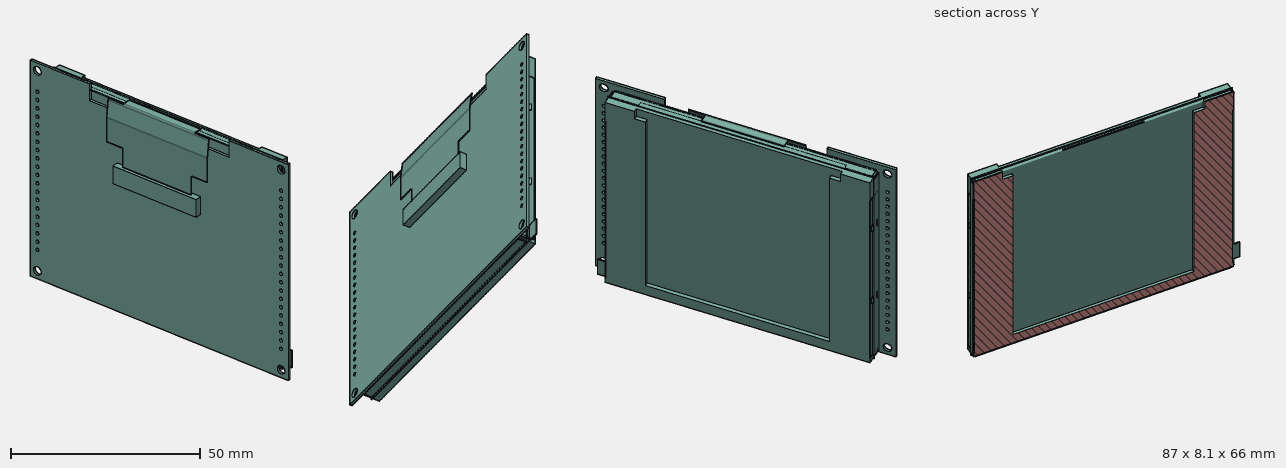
import cadquery as cq

BOARD_WIDTH = 87.0
BOARD_HEIGHT = 66.0
BOARD_THICKNESS = 0.8
CUTOUT_WIDTH = 47.0
CUTOUT_DEPTH = 5.05
MOUNT_HOLE_DIAMETER = 2.5
HOLE_INSET = 2.4
PIN_HOLE_DIAMETER = 1.0
PINS_PER_ROW = 20
PIN_ROW_LENGTH = 48.4
PIN_PITCH = PIN_ROW_LENGTH / (PINS_PER_ROW - 1)

SHEET = 0.3
FRAME_WIDTH = 76.7
FRAME_HEIGHT = 63.4
FRAME_BOTTOM = 0.3
FRAME_TOP = FRAME_BOTTOM + FRAME_HEIGHT
REAR_FRAME_FRONT = 3.3
FRAME_CLEARANCE = 0.3
SHIELD_INSIDE = REAR_FRAME_FRONT + FRAME_CLEARANCE
SHIELD_FRONT = SHIELD_INSIDE + SHEET
FRAME_THICKNESS = 2.2
SHIELD_WIDTH = FRAME_WIDTH + 2 * SHEET
SHIELD_TOP = FRAME_TOP + SHEET
CORNER_GAP = 0.8

NOTCH_WIDTH = 59.6
NOTCH_HEIGHT = 2.6
WINDOW_WIDTH = 53.25
WINDOW_DEPTH = 1.1
WINDOW_BOTTOM = 3.5
RECESS_BOTTOM = 1.65
RECESS_TOP = 57.0
RECESS_DEPTH = 0.2
RECESS_LIP = 0.3

SNAP_HEIGHT = 1.9
SNAP_LENGTH = 0.8
SNAP_REACH = 0.5
SNAP_CENTRES_Z = (21.0, 46.4)

TAB_END_X = 41.15
TAB_LENGTH = 5.2
TAB_THICKNESS = 0.35
TAB_BACK = 4.35
TAB_BOTTOM = 1.05
TAB_HEIGHT = 5.2

CONNECTOR_WIDTH = 28.0
CONNECTOR_HEIGHT = 5.4
CONNECTOR_THICKNESS = 2.0
CONNECTOR_BOTTOM = 40.0
CONNECTOR_TOP = CONNECTOR_BOTTOM + CONNECTOR_HEIGHT

FLEX_THICKNESS = 0.3
FLEX_WIDTH = 33.9
NECK_WIDTH = 23.0
STRIP_WIDTH = 24.0
FLEX_START_Y = 2.7
FLEX_BEND_RADIUS = 0.5
FLEX_RISE = 0.1
FLEX_UNDERSIDE = SHIELD_TOP + FLEX_RISE
FLEX_TOP = FLEX_UNDERSIDE + FLEX_THICKNESS
FLEX_BACK_TOP_Y = -0.4
FLEX_BACK_Y = -1.05
FLEX_CREASE_Z = 58.7
SHOULDER_Z = 51.2
SHOULDER_RADIUS = 0.4


def block(width, y_back, y_front, z_bottom, z_top, x_centre=0.0):
    """Box centred on x_centre, between two Y planes and two Z planes."""
    return cq.Workplane("XY").box(
        width, y_front - y_back, z_top - z_bottom, centered=(True, False, False)
    ).translate((x_centre, y_back, z_bottom))


def through_holes(points, diameter):
    """Cylinders along Y through the board at the given (X, Z) points."""
    return (
        cq.Workplane("XZ").pushPoints(points).circle(diameter / 2).extrude(-BOARD_THICKNESS)
    )


def make_board():
    board = block(BOARD_WIDTH, 0, BOARD_THICKNESS, 0, BOARD_HEIGHT)
    cutout = block(CUTOUT_WIDTH, 0, BOARD_THICKNESS, BOARD_HEIGHT - CUTOUT_DEPTH, BOARD_HEIGHT)
    hole_x = BOARD_WIDTH / 2 - HOLE_INSET
    mount_points = [
        (x, z) for x in (-hole_x, hole_x) for z in (HOLE_INSET, BOARD_HEIGHT - HOLE_INSET)
    ]
    first_pin_z = (BOARD_HEIGHT - PIN_ROW_LENGTH) / 2
    pin_points = [
        (x, first_pin_z + i * PIN_PITCH) for x in (-hole_x, hole_x) for i in range(PINS_PER_ROW)
    ]
    return (
        board.cut(cutout)
        .cut(through_holes(mount_points, MOUNT_HOLE_DIAMETER))
        .cut(through_holes(pin_points, PIN_HOLE_DIAMETER))
    )


def make_snaps(y_back, side_face_x):
    """Wedges on both sides that rise from y_back towards +Y, each ending in a square step."""
    wedge = (
        cq.Workplane("XY")
        .polyline([
            (0, y_back),
            (side_face_x, y_back),
            (side_face_x + SNAP_REACH, y_back + SNAP_LENGTH),
            (0, y_back + SNAP_LENGTH),
        ])
        .close()
        .extrude(SNAP_HEIGHT)
    )
    both = wedge.union(wedge.mirror("YZ"))
    lower_z, upper_z = (z - SNAP_HEIGHT / 2 for z in SNAP_CENTRES_Z)
    return both.translate((0, 0, lower_z)).union(both.translate((0, 0, upper_z)))


def make_frame(y_back):
    """Display frame with a shallow front window, a notch in the top rim and snaps in side recesses."""
    y_front = y_back + FRAME_THICKNESS
    window_floor = y_front - WINDOW_DEPTH
    notch_floor = FRAME_TOP - NOTCH_HEIGHT
    frame = block(FRAME_WIDTH, y_back, y_front, FRAME_BOTTOM, FRAME_TOP)
    notch = block(NOTCH_WIDTH, window_floor, y_front, notch_floor, FRAME_TOP)
    window = block(WINDOW_WIDTH, window_floor, y_front, WINDOW_BOTTOM, notch_floor)
    frame = frame.cut(notch).cut(window)
    for side in (-1, 1):
        recess = block(
            2 * RECESS_DEPTH,
            y_back,
            y_front - RECESS_LIP,
            RECESS_BOTTOM,
            RECESS_TOP,
            side * FRAME_WIDTH / 2,
        )
        frame = frame.cut(recess)
    return frame.union(make_snaps(y_back, FRAME_WIDTH / 2 - RECESS_DEPTH))


def make_shield(rear_frame):
    """Sheet cover around the rear frame, open at the corners, with slots where the snaps reach through."""
    shield_bottom = FRAME_BOTTOM - SHEET
    cover = block(SHIELD_WIDTH, BOARD_THICKNESS, SHIELD_FRONT, shield_bottom, SHIELD_TOP)
    hollow = block(FRAME_WIDTH, BOARD_THICKNESS, SHIELD_INSIDE, FRAME_BOTTOM, FRAME_TOP)
    cover = cover.cut(hollow).cut(rear_frame)
    for x in (-SHIELD_WIDTH / 2, SHIELD_WIDTH / 2):
        for z in (shield_bottom, SHIELD_TOP):
            gap = block(
                2 * CORNER_GAP, BOARD_THICKNESS, SHIELD_INSIDE, z - CORNER_GAP, z + CORNER_GAP, x
            )
            cover = cover.cut(gap)
    return cover


def make_tab():
    return block(
        TAB_LENGTH,
        TAB_BACK,
        TAB_BACK + TAB_THICKNESS,
        TAB_BOTTOM,
        TAB_BOTTOM + TAB_HEIGHT,
        TAB_END_X - TAB_LENGTH / 2,
    )


def make_connector():
    return block(
        CONNECTOR_WIDTH, -CONNECTOR_THICKNESS, 0, CONNECTOR_BOTTOM, CONNECTOR_TOP
    )


def make_flex():
    """Thin strip from the shield's top edge, through the board's cutout and down to the connector."""
    bend_z = FLEX_TOP - FLEX_BEND_RADIUS
    bend_y = FLEX_BACK_TOP_Y + FLEX_BEND_RADIUS
    inner_bend_radius = FLEX_BEND_RADIUS - FLEX_THICKNESS
    foot_y = FLEX_START_Y - FLEX_THICKNESS
    path = (
        cq.Workplane("YZ")
        .moveTo(FLEX_START_Y, SHIELD_TOP)
        .lineTo(FLEX_START_Y, FLEX_UNDERSIDE)
        .radiusArc((foot_y, FLEX_TOP), -FLEX_THICKNESS)
        .lineTo(bend_y, FLEX_TOP)
        .radiusArc((FLEX_BACK_TOP_Y, bend_z), -FLEX_BEND_RADIUS)
        .lineTo(FLEX_BACK_Y, FLEX_CREASE_Z)
        .lineTo(FLEX_BACK_Y, CONNECTOR_TOP)
        .lineTo(FLEX_BACK_Y + FLEX_THICKNESS, CONNECTOR_TOP)
        .lineTo(FLEX_BACK_Y + FLEX_THICKNESS, FLEX_CREASE_Z)
        .lineTo(FLEX_BACK_TOP_Y + FLEX_THICKNESS, bend_z)
        .radiusArc((bend_y, FLEX_UNDERSIDE), inner_bend_radius)
        .lineTo(foot_y, FLEX_UNDERSIDE)
        .lineTo(foot_y, SHIELD_TOP)
        .close()
    )
    sheet = path.extrude(FLEX_WIDTH / 2, both=True)

    strip = block(STRIP_WIDTH, 0, FLEX_START_Y, SHIELD_TOP, FLEX_TOP)
    panel = block(FLEX_WIDTH, FLEX_BACK_Y, 0, SHOULDER_Z, FLEX_TOP)
    neck = block(NECK_WIDTH, FLEX_BACK_Y, 0, CONNECTOR_TOP, SHOULDER_Z)
    outline = panel.union(neck)
    at_shoulder = cq.selectors.BoxSelector(
        (-FLEX_WIDTH / 2 + SHOULDER_RADIUS, FLEX_BACK_Y, SHOULDER_Z - SHOULDER_RADIUS),
        (FLEX_WIDTH / 2 - SHOULDER_RADIUS, 0, SHOULDER_Z + SHOULDER_RADIUS),
    )
    outline = outline.edges("|Y").edges(at_shoulder).fillet(SHOULDER_RADIUS)
    return sheet.intersect(outline.union(strip))


board = make_board()
rear_frame = make_frame(REAR_FRAME_FRONT - FRAME_THICKNESS)
shield = make_shield(rear_frame)
tab = make_tab()
front_frame = make_frame(SHIELD_FRONT).cut(tab)
connector = make_connector()
flex = make_flex()

result = cq.Compound.makeCompound([
    board.val(),
    rear_frame.val(),
    shield.val(),
    tab.val(),
    front_frame.val(),
    connector.val(),
    flex.val(),
])